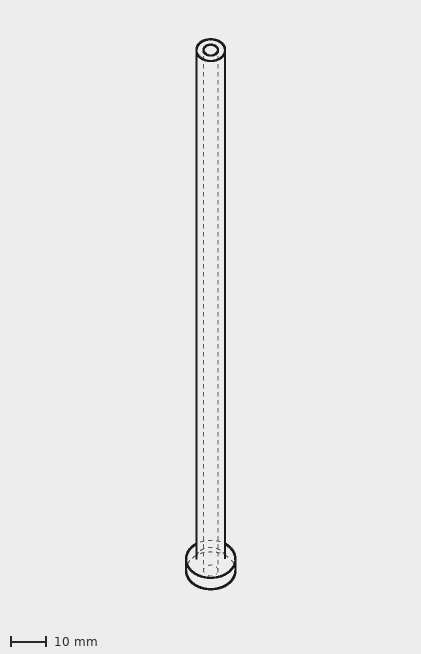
import cadquery as cq

total_length = 225.0
head_diameter = 14.0
head_height = 5.0
tube_diameter = 8.0
bore_diameter = 4.0
neck_fillet = 0.5

head = cq.Workplane("XY").circle(head_diameter / 2).extrude(head_height)
tube = cq.Workplane("XY").circle(tube_diameter / 2).extrude(total_length)

neck_edge = cq.selectors.BoxSelector(
    (-tube_diameter, -tube_diameter, head_height - neck_fillet),
    (tube_diameter, tube_diameter, head_height + neck_fillet),
)
body = head.union(tube)
body = body.edges(neck_edge).edges(cq.selectors.RadiusNthSelector(0)).fillet(neck_fillet)

bore = cq.Workplane("XY").circle(bore_diameter / 2).extrude(total_length)
result = body.cut(bore)